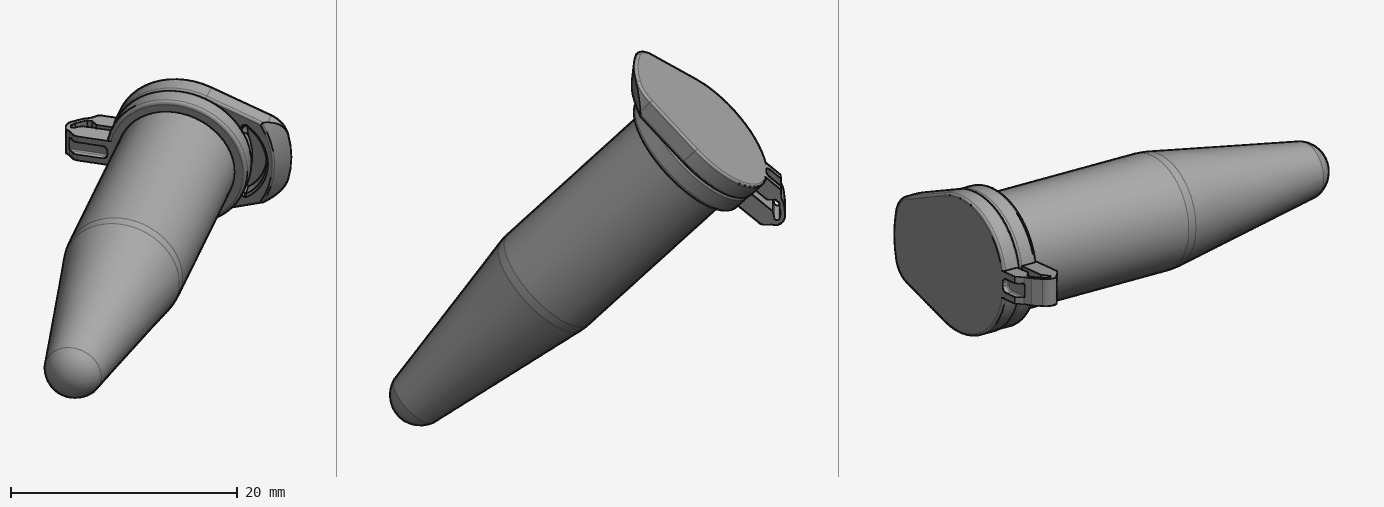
import cadquery as cq
import math


total_length = 40.45
body_diameter = 10.72
body_radius = body_diameter / 2
cone_start_depth = 21.4
cone_end_depth = 38.55
cone_end_radius = 2.6
shoulder_length = 0.85

lid_diameter = 13.0
lid_radius = lid_diameter / 2
lid_thickness = 1.85
nose_reach = 9.6
nose_bottom_reach = 8.38
nose_rim_height = 0.3
nose_corner_radius = 2.55
side_angle = 70.0
edge_radius = 0.25

recess_depth = 0.8
recess_taper = 15.0
recess_reach = 7.7
recess_inner_radius = 5.65
recess_corner = (5.8, 3.65)
recess_heel = (5.45, 3.28)
recess_edge_chamfer = 0.2

collar_radius = 6.45
collar_bottom_depth = 3.8
collar_bottom_radius = 0.32

strap_width = 2.55
slot_width = 1.3
slot_depth = 0.6
slot_inner_x = -6.27
slot_outer_x = -10.93
slot_corner_radius = 0.5
slot_floor_radius = 0.12
upper_arm_depth = 1.58
lower_arm_depth = 2.1


def disc(radius, start_depth, end_depth):
    """Round plate on the tube axis between two depths below the lid top."""
    plane = cq.Workplane("XZ", origin=(0, -start_depth, 0))
    return plane.circle(radius).extrude(end_depth - start_depth)


def make_body():
    """Cylinder, rounded shoulder, cone and domed tip."""
    cone_end = cone_start_depth + shoulder_length
    slope_length = cone_end_depth - cone_start_depth - shoulder_length / 2
    slope = math.atan((body_radius - cone_end_radius) / slope_length)
    shoulder_drop = shoulder_length * math.tan(slope / 2)
    tip_height = total_length - cone_end_depth
    tip_radius = (cone_end_radius**2 + tip_height**2) / (2 * tip_height)
    tip_center = total_length - tip_radius
    tip_mid = tip_radius / math.sqrt(2)
    profile = (
        cq.Workplane("XY")
        .moveTo(0, -lid_thickness)
        .lineTo(body_radius, -lid_thickness)
        .lineTo(body_radius, -cone_start_depth)
        .tangentArcPoint((body_radius - shoulder_drop, -cone_end), relative=False)
        .lineTo(cone_end_radius, -cone_end_depth)
        .threePointArc((tip_mid, -tip_center - tip_mid), (0, -total_length))
        .close()
    )
    return profile.revolve(360, (0, 0, 0), (0, 1, 0))


def make_lid():
    """Round lid with a tapering nose whose underside slopes up to the rim."""
    angle = math.radians(side_angle)
    tangent_x = lid_radius * math.cos(angle)
    tangent_z = lid_radius * math.sin(angle)
    side_length = math.sqrt(nose_reach**2 - lid_radius**2)
    corner_x = tangent_x + side_length * math.sin(angle)
    corner_z = tangent_z - side_length * math.cos(angle)
    lid = (
        cq.Workplane("XZ")
        .moveTo(tangent_x, tangent_z)
        .lineTo(corner_x, corner_z)
        .threePointArc((nose_reach, 0), (corner_x, -corner_z))
        .lineTo(tangent_x, -tangent_z)
        .threePointArc((-lid_radius, 0), (tangent_x, tangent_z))
        .close()
        .extrude(lid_thickness)
    )
    lid = lid.edges("|Y").edges(">X").fillet(nose_corner_radius)
    slope_limit = (
        cq.Workplane("XY")
        .polyline([
            (0, 0),
            (nose_reach, 0),
            (nose_reach, -nose_rim_height),
            (nose_bottom_reach, -lid_thickness),
            (0, -lid_thickness),
        ])
        .close()
        .revolve(360, (0, 0, 0), (0, 1, 0))
    )
    lid = lid.intersect(slope_limit)
    lid = lid.faces("<Y").edges().fillet(edge_radius)
    lid = lid.faces(">Y").edges().fillet(edge_radius)
    return lid.cut(make_recess())


def recess_outline(depth):
    """Crescent outline between the collar and the nose, on a plane at the given depth."""
    corner_x, corner_z = recess_corner
    heel_x, heel_z = recess_heel
    return (
        cq.Workplane("XZ", origin=(0, -depth, 0))
        .moveTo(heel_x, heel_z)
        .lineTo(corner_x, corner_z)
        .threePointArc((recess_reach, 0), (corner_x, -corner_z))
        .lineTo(heel_x, -heel_z)
        .threePointArc((recess_inner_radius, 0), (heel_x, heel_z))
        .close()
    )


def make_recess():
    """Crescent pocket that opens downwards, with sloping walls and a chamfered mouth."""
    mouth_depth = lid_thickness - recess_edge_chamfer
    pocket = recess_outline(mouth_depth).extrude(-recess_depth, taper=recess_taper)
    mouth = recess_outline(mouth_depth).extrude(recess_edge_chamfer, taper=-45)
    return pocket.union(mouth)


def make_collar():
    """Thick ring below the lid, with a plug that closes the inner side of the recess."""
    collar = disc(collar_radius, lid_thickness, collar_bottom_depth)
    collar = collar.faces(">Y").edges().fillet(edge_radius)
    collar = collar.faces("<Y").edges().fillet(collar_bottom_radius)
    plug_radius = collar_radius - edge_radius
    return collar.union(disc(plug_radius, edge_radius, collar_bottom_depth - collar_bottom_radius))


def make_slot(start_depth, floor_face):
    """Cutter for a slot with rounded inner corners and floor edges, open at the hinge end of its arm."""
    length = slot_inner_x - slot_outer_x
    slot = (
        cq.Workplane("XZ", origin=((slot_inner_x + slot_outer_x) / 2, -start_depth, 0))
        .rect(length, slot_width)
        .extrude(slot_depth)
    )
    slot = slot.edges("|Y").edges(">X").fillet(slot_corner_radius)
    return slot.faces(floor_face).edges().fillet(slot_floor_radius)


def make_strap():
    """Two solid arms joined by a thin bend."""
    return (
        cq.Workplane("XY")
        .moveTo(-body_radius, 0)
        .lineTo(-8.05, 0)
        .lineTo(-8.6, -0.55)
        .lineTo(-9.23, -0.9)
        .lineTo(-10.0, -1.55)
        .threePointArc((-10.45, -2.3), (-10.28, -2.95))
        .lineTo(-9.95, -3.15)
        .lineTo(-9.5, -3.6)
        .tangentArcPoint((-9.05, -collar_bottom_depth), relative=False)
        .lineTo(-body_radius, -collar_bottom_depth)
        .lineTo(-body_radius, -lower_arm_depth)
        .lineTo(-9.02, -lower_arm_depth)
        .lineTo(-9.65, -2.5)
        .threePointArc((-9.95, -2.5), (-9.95, -2.15))
        .lineTo(-9.75, -1.82)
        .lineTo(-8.85, -1.1)
        .lineTo(-8.4, -1.1)
        .lineTo(-7.9, -upper_arm_depth)
        .lineTo(-body_radius, -upper_arm_depth)
        .close()
        .extrude(strap_width / 2, both=True)
    )


result = make_body().union(make_lid()).union(make_collar()).union(make_strap())

result = result.cut(make_slot(0, "<Y"))
result = result.cut(make_slot(collar_bottom_depth - slot_depth, ">Y"))